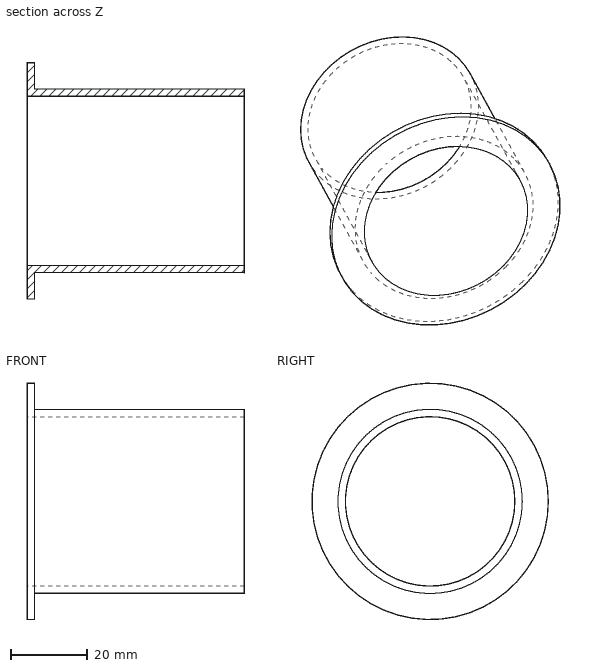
import cadquery as cq

overall_length = 57.0
flange_diameter = 62.0
flange_thickness = 2.0
wall_thickness = 2.0
tube_diameter = 48.3
bore_diameter = tube_diameter - 2 * wall_thickness


def cylinder_along_x(diameter, length):
    """Solid cylinder starting at X = 0 and extending toward +X."""
    return cq.Workplane("YZ").circle(diameter / 2).extrude(length)


flange = cylinder_along_x(flange_diameter, flange_thickness)
tube = cylinder_along_x(tube_diameter, overall_length)
bore = cylinder_along_x(bore_diameter, overall_length)

result = flange.union(tube).cut(bore)